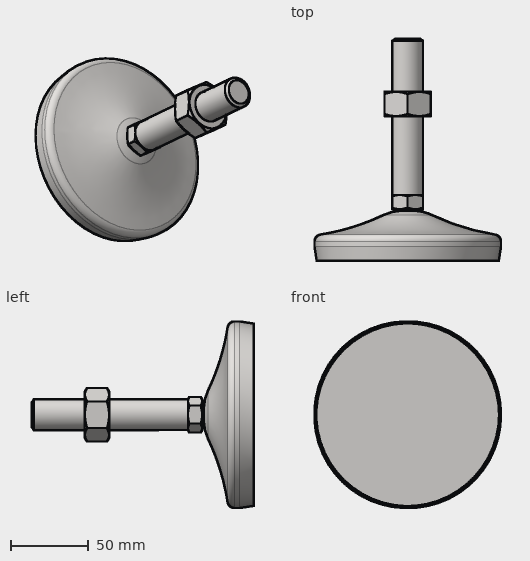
import cadquery as cq
import math

total_length = 142.5

foot_radius = 60.0
sole_radius = 58.5
taper_height = 9.1
band_top = 12.3
shoulder_radius = 4.7
flank_end_angle = math.radians(9)
crown_edge = (15.4, 29.5)
crown_height = 32.0

stem_radius = 10.0
stem_end_inset = 2.1
stem_end_length = 1.4
neck_radius = 5.0
collar_start = 32.9
collar_length = 9.5
collar_across_flats = 20.0
nut_start = 92.6
nut_length = 16.0
nut_across_flats = 29.9
hex_end_clearance = 0.4
hex_chamfer_angle = math.radians(30)


def revolve_about_y(profile):
    return profile.close().revolve(360, (0, 0, 0), (0, 1, 0))


def shoulder_point(angle):
    """Point on the rounded shoulder, with the angle measured from the Y direction."""
    return (
        foot_radius - shoulder_radius + shoulder_radius * math.sin(angle),
        band_top + shoulder_radius * math.cos(angle),
    )


def make_foot():
    shoulder_middle_angle = (flank_end_angle + math.pi / 2) / 2
    profile = (
        cq.Workplane("XY")
        .lineTo(sole_radius, 0)
        .lineTo(foot_radius, taper_height)
        .lineTo(foot_radius, band_top)
        .threePointArc(shoulder_point(shoulder_middle_angle), shoulder_point(flank_end_angle))
        .tangentArcPoint(crown_edge, relative=False)
        .tangentArcPoint((neck_radius, crown_height), relative=False)
        .lineTo(0, crown_height)
    )
    return revolve_about_y(profile)


def make_stem():
    stem_start = collar_start + collar_length / 2
    profile = (
        cq.Workplane("XY")
        .moveTo(0, crown_height / 2)
        .lineTo(neck_radius, crown_height / 2)
        .lineTo(neck_radius, stem_start)
        .lineTo(stem_radius, stem_start)
        .lineTo(stem_radius, total_length - stem_end_length)
        .lineTo(stem_radius - stem_end_inset, total_length)
        .lineTo(0, total_length)
    )
    return revolve_about_y(profile)


def make_hexagon(start, length, across_flats):
    """Hexagon with corners toward +Z and -Z, its ends turned down to a cone."""
    corner_radius = across_flats / math.sqrt(3)
    end_radius = across_flats / 2 - hex_end_clearance
    chamfer_length = (corner_radius - end_radius) * math.tan(hex_chamfer_angle)
    end = start + length
    prism = (
        cq.Workplane("XZ", origin=(0, start, 0))
        .transformed(rotate=(0, 0, 90))
        .polygon(6, 2 * corner_radius)
        .extrude(-length)
    )
    envelope = (
        cq.Workplane("XY")
        .moveTo(0, start)
        .lineTo(end_radius, start)
        .lineTo(corner_radius, start + chamfer_length)
        .lineTo(corner_radius, end - chamfer_length)
        .lineTo(end_radius, end)
        .lineTo(0, end)
    )
    return prism.intersect(revolve_about_y(envelope))


collar = make_hexagon(collar_start, collar_length, collar_across_flats)
nut = make_hexagon(nut_start, nut_length, nut_across_flats)
result = make_foot().union(make_stem()).union(collar).union(nut)